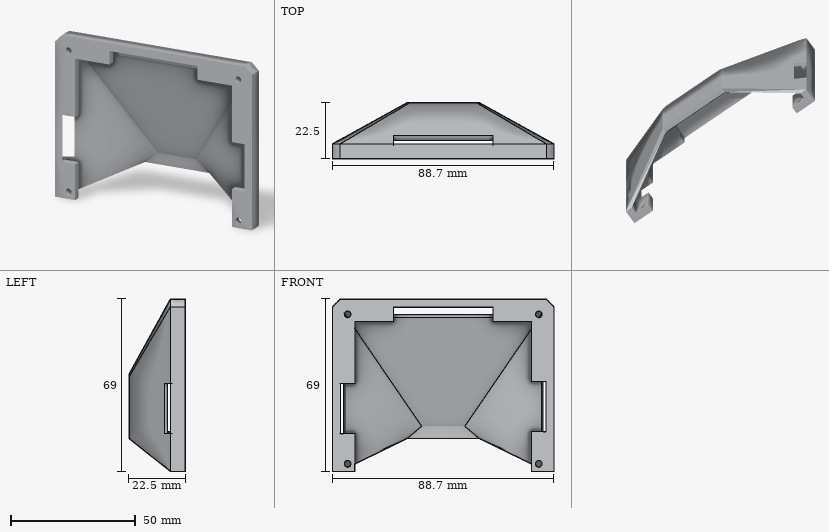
import cadquery as cq

WIDTH = 88.73
HEIGHT = 69.0
DEPTH = 22.5
FRAME_THICKNESS = 6.0
FRAME_CORNER = 3.1
FRAME_BORDER = 9.05
LIP_THICKNESS = 3.0

BACK_WIDTH = 29.0
BACK_BOTTOM = 13.15
BACK_TOP = 39.1
BACK_CORNER = 1.2

CAVITY_BORDER = 2.9
BACK_WALL = 2.0
CAVITY_BACK_TOP = 18.1
CAVITY_BACK_TOP_WIDTH = 17.3

HOLE_DIAMETER = 2.6
HOLE_SIDE_INSET = 6.1
HOLE_TOP_INSET = 6.1
HOLE_BOTTOM_INSET = 3.1

TOP_SLOT_LENGTH = 39.75
SLOT_WIDTH = 7.0
SIDE_SLOT_LENGTH = 20.0
SIDE_WALL_SLOT_WIDTH = 5.0
LEFT_SLOT_BOTTOM = 15.2
RIGHT_SLOT_BOTTOM = 16.0
SLOT_REACH_OUT = 5.0
SLOT_REACH_IN = 12.0

HALF_WIDTH = WIDTH / 2
CAVITY_BACK = DEPTH - BACK_WALL


def section(y, points):
    """Closed wire through (x, z) points in the plane at the given Y."""
    return cq.Wire.makePolygon([cq.Vector(x, y, z) for x, z in points], close=True)


def chamfered_outline(width, bottom, top, corner):
    """Rectangle centred on X = 0 with its two top corners cut off."""
    half = width / 2
    return [
        (-half, bottom),
        (half, bottom),
        (half, top - corner),
        (half - corner, top),
        (-half + corner, top),
        (-half, top - corner),
    ]


def ruled_body(*wires):
    return cq.Workplane(obj=cq.Solid.makeLoft(list(wires), True))


def make_frame():
    outline = section(0, chamfered_outline(WIDTH, 0, HEIGHT, FRAME_CORNER))
    plate = cq.Solid.extrudeLinear(outline, [], cq.Vector(0, FRAME_THICKNESS, 0))
    opening = cq.Workplane("XY").box(
        WIDTH - 2 * FRAME_BORDER, FRAME_THICKNESS, HEIGHT - FRAME_BORDER, centered=(True, False, False)
    )
    recess = (
        cq.Workplane("XY")
        .box(
            WIDTH - 2 * CAVITY_BORDER,
            FRAME_THICKNESS - LIP_THICKNESS,
            HEIGHT - CAVITY_BORDER,
            centered=(True, False, False),
        )
        .translate((0, LIP_THICKNESS, 0))
    )
    return cq.Workplane(obj=plate).cut(opening).cut(recess).cut(make_holes())


def make_holes():
    hole_x = HALF_WIDTH - HOLE_SIDE_INSET
    centres = [
        (x, z) for x in (-hole_x, hole_x) for z in (HOLE_BOTTOM_INSET, HEIGHT - HOLE_TOP_INSET)
    ]
    return cq.Workplane("XZ").pushPoints(centres).circle(HOLE_DIAMETER / 2).extrude(-FRAME_THICKNESS)


def make_cavity():
    """Tapered hollow from the rear of the frame to the back wall."""
    mouth_half = HALF_WIDTH - CAVITY_BORDER
    top_half = CAVITY_BACK_TOP_WIDTH / 2
    bottom_half = BACK_WIDTH / 2
    mouth_top = HEIGHT - CAVITY_BORDER
    mouth = section(
        FRAME_THICKNESS,
        [(-mouth_half, 0), (mouth_half, 0), (mouth_half, mouth_top), (-mouth_half, mouth_top)],
    )
    back = section(
        CAVITY_BACK,
        [
            (-bottom_half, BACK_BOTTOM),
            (bottom_half, BACK_BOTTOM),
            (top_half, CAVITY_BACK_TOP),
            (-top_half, CAVITY_BACK_TOP),
        ],
    )
    return ruled_body(mouth, back)


def prism_below(*points):
    """Everything straight below a flat polygon of (x, y, z) points."""
    face = cq.Wire.makePolygon([cq.Vector(*point) for point in points], close=True)
    return cq.Workplane(obj=cq.Solid.extrudeLinear(face, [], cq.Vector(0, 0, -HEIGHT)))


def make_underside():
    """Space below the hood, which has no floor of its own."""
    half_back = BACK_WIDTH / 2
    front_left = (-HALF_WIDTH, FRAME_THICKNESS, 0)
    front_right = (HALF_WIDTH, FRAME_THICKNESS, 0)
    inner_left = (-half_back, CAVITY_BACK, BACK_BOTTOM)
    inner_right = (half_back, CAVITY_BACK, BACK_BOTTOM)
    outer_left = (-half_back, DEPTH, BACK_BOTTOM)
    outer_right = (half_back, DEPTH, BACK_BOTTOM)
    below_cavity = prism_below(front_left, front_right, inner_right, inner_left)
    below_back_wall = prism_below(inner_left, inner_right, outer_right, outer_left)
    below_left_wall = prism_below(front_left, inner_left, outer_left)
    below_right_wall = prism_below(front_right, inner_right, outer_right)
    return below_cavity.union(below_back_wall).union(below_left_wall).union(below_right_wall)


def make_hood():
    front = section(FRAME_THICKNESS, chamfered_outline(WIDTH, 0, HEIGHT, FRAME_CORNER))
    back = section(DEPTH, chamfered_outline(BACK_WIDTH, BACK_BOTTOM, BACK_TOP, BACK_CORNER))
    return ruled_body(front, back).cut(make_cavity()).cut(make_underside())


def slot_cutter(edge_point, along, slope, length, width):
    """Box starting at the frame's rear edge, running `width` down the wall slope, square to the wall."""
    wall = cq.Plane(origin=edge_point, xDir=slope, normal=slope.cross(along))
    return (
        cq.Workplane(wall)
        .workplane(offset=-SLOT_REACH_IN)
        .center(width / 2, 0)
        .rect(width, length)
        .extrude(SLOT_REACH_IN + SLOT_REACH_OUT)
    )


def make_slots(side_slot_width):
    hood_depth = DEPTH - FRAME_THICKNESS
    top_slope = cq.Vector(0, hood_depth, BACK_TOP - HEIGHT)
    slots = slot_cutter(
        (0, FRAME_THICKNESS, HEIGHT), cq.Vector(-1, 0, 0), top_slope, TOP_SLOT_LENGTH, SLOT_WIDTH
    )
    for side, bottom in ((-1, LEFT_SLOT_BOTTOM), (1, RIGHT_SLOT_BOTTOM)):
        slope = cq.Vector(-side * (WIDTH - BACK_WIDTH) / 2, hood_depth, 0)
        edge_point = (side * HALF_WIDTH, FRAME_THICKNESS, bottom + SIDE_SLOT_LENGTH / 2)
        along = cq.Vector(0, 0, side)
        slots = slots.union(slot_cutter(edge_point, along, slope, SIDE_SLOT_LENGTH, side_slot_width))
    return slots


frame = make_frame().cut(make_slots(SLOT_WIDTH))
hood = make_hood().cut(make_slots(SIDE_WALL_SLOT_WIDTH))
result = frame.union(hood)